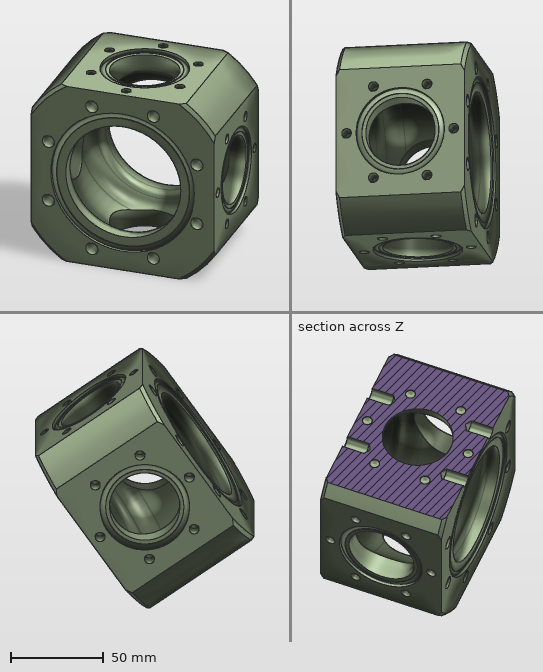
import cadquery as cq
import math

width = 105.0
depth = 70.6
barrel_radius = 63.5
barrel_chamfer = 2.0

chamber_radius = 42.9
chamber_straight_length = 28.0
chamber_corner_radius = 10.0
bore_lip_radius = 5.0

knife_depth = 0.5
seat_depth = 1.2
groove_depth = 1.9

large_port = dict(
    bore_radius=33.0,
    knife_radius=38.1,
    recess_radius=41.2,
    bolt_count=8,
    bolt_circle_radius=46.1,
    first_bolt_angle=22.5,
    bolt_radius=3.5,
    bolt_depth=12.6,
)

small_port = dict(
    bore_radius=19.0,
    knife_radius=21.1,
    recess_radius=24.2,
    bolt_count=6,
    bolt_circle_radius=29.4,
    first_bolt_angle=30.0,
    bolt_radius=2.6,
    bolt_depth=10.0,
)
drill_tip_angle = 118.0


def revolve_profile(profile):
    """Revolve a closed profile about its local vertical axis."""
    return profile.revolve(360, (0, 0, 0), (0, 1, 0))


def outer_block():
    """Square block trimmed by a chamfered cylinder that runs along Y."""
    block = cq.Workplane("XY").box(width, depth, width)
    barrel = cq.Workplane("XZ").circle(barrel_radius).extrude(depth / 2, both=True)
    return block.intersect(barrel.edges().chamfer(barrel_chamfer))


def chamber():
    """Chamber revolved about Y, narrowing to the large bore at each end."""
    bore_radius = large_port["bore_radius"]
    half_straight = chamber_straight_length / 2
    center_distance = chamber_corner_radius + bore_lip_radius
    turn = math.acos(1 - (chamber_radius - bore_radius) / center_distance)
    bore_start = half_straight + center_distance * math.sin(turn)

    def on_corner(angle):
        return (
            chamber_radius - chamber_corner_radius * (1 - math.cos(angle)),
            half_straight + chamber_corner_radius * math.sin(angle),
        )

    def on_lip(angle):
        return (
            bore_radius + bore_lip_radius * (1 - math.cos(angle)),
            bore_start - bore_lip_radius * math.sin(angle),
        )

    half = revolve_profile(
        cq.Workplane("XY")
        .lineTo(chamber_radius, 0)
        .lineTo(chamber_radius, half_straight)
        .threePointArc(on_corner(turn / 2), on_corner(turn))
        .threePointArc(on_lip(turn / 2), on_lip(0))
        .lineTo(0, bore_start)
        .close()
    )
    return half.union(half.mirror("XZ"))


def port_cutter(port, face_height):
    """Bore from the block centre, knife-edge seat and bolt holes for a face at +Z."""
    bore_radius = port["bore_radius"]
    knife_radius = port["knife_radius"]
    recess_radius = port["recess_radius"]
    seat_height = face_height - seat_depth
    cutter = revolve_profile(
        cq.Workplane("XZ")
        .lineTo(bore_radius, 0)
        .lineTo(bore_radius, seat_height)
        .lineTo(knife_radius, seat_height)
        .lineTo(knife_radius, face_height - knife_depth)
        .lineTo(recess_radius, face_height - groove_depth)
        .lineTo(recess_radius, face_height)
        .lineTo(0, face_height)
        .close()
    )

    bolt_radius = port["bolt_radius"]
    bolt_bottom = face_height - port["bolt_depth"]
    tip_length = bolt_radius / math.tan(math.radians(drill_tip_angle / 2))
    bolt_hole = revolve_profile(
        cq.Workplane("XZ")
        .moveTo(0, face_height)
        .lineTo(bolt_radius, face_height)
        .lineTo(bolt_radius, bolt_bottom)
        .lineTo(0, bolt_bottom - tip_length)
        .close()
    ).translate((port["bolt_circle_radius"], 0, 0))
    for index in range(port["bolt_count"]):
        angle = port["first_bolt_angle"] + index * 360 / port["bolt_count"]
        cutter = cutter.union(bolt_hole.rotate((0, 0, 0), (0, 0, 1), angle))
    return cutter


result = outer_block().cut(chamber())

large_cutter = port_cutter(large_port, depth / 2)
for face_angle in (90, -90):
    result = result.cut(large_cutter.rotate((0, 0, 0), (1, 0, 0), face_angle))

small_cutter = port_cutter(small_port, width / 2)
for face_angle in (0, 90, 180, 270):
    result = result.cut(small_cutter.rotate((0, 0, 0), (0, 1, 0), face_angle))